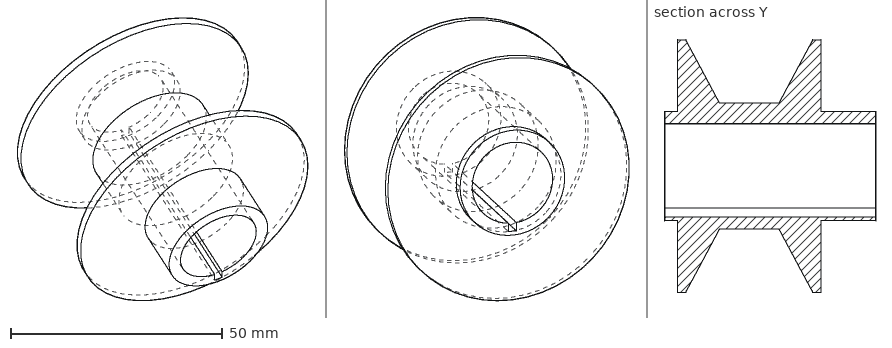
import cadquery as cq

length = 50.0
flange_diameter = 60.0
core_diameter = flange_diameter / 2
hub_diameter = 26.0
bore_diameter = 20.0

short_hub_length = 3.0
flange_span = 34.0
rim_width = 2.0
core_width = 14.05
cone_width = (flange_span - core_width) / 2 - rim_width

key_width = 2.0
key_depth_from_axis = 12.0


def pulley_body():
    """Revolve the half section of hubs, flanges and core about the X axis."""
    hub_radius = hub_diameter / 2
    flange_radius = flange_diameter / 2
    core_radius = core_diameter / 2
    flange_start = short_hub_length
    flange_end = flange_start + flange_span
    core_start = flange_start + rim_width + cone_width
    core_end = core_start + core_width
    section = [
        (0, 0),
        (0, hub_radius),
        (flange_start, hub_radius),
        (flange_start, flange_radius),
        (flange_start + rim_width, flange_radius),
        (core_start, core_radius),
        (core_end, core_radius),
        (flange_end - rim_width, flange_radius),
        (flange_end, flange_radius),
        (flange_end, hub_radius),
        (length, hub_radius),
        (length, 0),
    ]
    return cq.Workplane("XY").polyline(section).close().revolve(360, (0, 0, 0), (1, 0, 0))


def keyed_bore():
    """Through bore joined with a rectangular keyway running its full length."""
    bore = cq.Workplane("YZ").circle(bore_diameter / 2).extrude(length)
    keyway = cq.Workplane("XY").box(
        length, key_width, key_depth_from_axis, centered=(False, True, False)
    ).translate((0, 0, -key_depth_from_axis))
    return bore.union(keyway)


result = pulley_body().cut(keyed_bore())